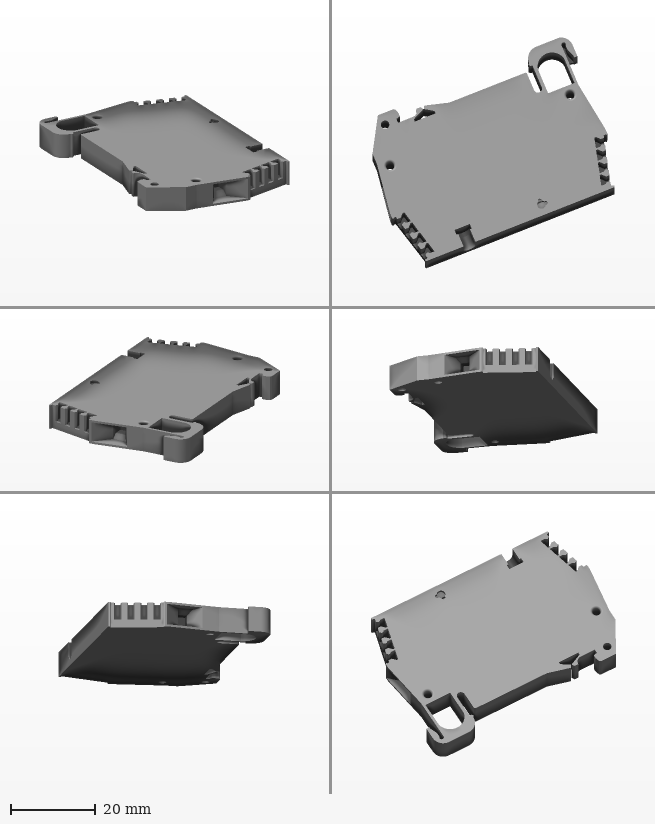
import cadquery as cq
import math

THICKNESS = 6.0

HEAD_TOP = 34.05
TOP_HALF_WIDTH = 24.05
FLANK_TOP = (23.45, 33.4)
FLANK_BOTTOM = (26.55, 21.25)
SHOULDER_HALF_WIDTH = 27.5
SHOULDER_BOTTOM = 20.05
WAIST_HALF_WIDTH = 25.7
WAIST_TOP = 7.55

LATCH_LEFT = -28.15
LATCH_TOP = 0.9
LATCH_BOTTOM = -4.95
LATCH_OUTER_RADIUS = 2.8
LATCH_INNER_RADIUS = 3.05
LATCH_RIGHT = -17.0
SPRING_SLOT_LEFT = -17.5
SPRING_SLOT_WIDTH = 1.95
SPRING_SLOT_TOP = 5.75
SPRING_SLOT_CORNER = 0.3
SLIT_BOTTOM = -3.5
WEB_THICKNESS = 1.1

WINDOW_LEFT = -25.05
WINDOW_RIGHT = -18.3
WINDOW_TOP = 6.75
WINDOW_SIDE_BOTTOM = 0.35
WINDOW_BOTTOM = -2.45

FOOT_BOTTOM = -3.5
FOOT_HOLE_CENTRE = (20.25, -0.7)
FOOT_HOLE_RADIUS = 1.0
SPRING_TIP = (10.4, -0.85)
JAW_GAP = 0.05
JAW_BOTTOM = -1.55
JAW_ROOT_X = 13.45
JAW_WINDOW_LEFT = 8.2
JAW_WINDOW_TOP = 1.2
JAW_WINDOW_CORNER = 0.6

RIVET_X = 23.0
RIVET_Y = 9.05
RIVET_RADIUS = 0.95
RIVET_SINK_RADIUS = 1.5

GROOVE_COUNT = 4
GROOVE_PITCH = 3.0
GROOVE_DEPTH = 4.1
FLANK_SLOPE = (FLANK_BOTTOM[0] - FLANK_TOP[0]) / (FLANK_TOP[1] - FLANK_BOTTOM[1])

CHANNEL_X = 12.95
CHANNEL_RADIUS = 1.5
CHANNEL_BOTTOM = 30.7
CHANNEL_SEAT_RADIUS = 1.95
CHANNEL_SEAT_BOTTOM = 29.5

ENTRY_TOP = 20.7
ENTRY_BOTTOM = 11.7
ENTRY_WALL = 0.53
ENTRY_INNER_TOP = 17.0
ENTRY_MOUTH_BOTTOM = 13.5
ENTRY_INNER_BOTTOM = 14.4
ENTRY_MOUTH_DEPTH = 3.9
ENTRY_SOCKET_DEPTH = 2.2
ENTRY_INNER_WALL = 1.6

LAMP_CENTRE = (-6.45, 31.5)
LAMP_RADIUS = 1.0
LAMP_HEIGHT = 1.65
LAMP_RECESS = 0.6
LAMP_FLAT_OFFSET = 0.6
LAMP_BEVEL_DROP = 0.65
NOTCH_RADIUS = 0.475
NOTCH_OFFSET = 1.05


def mirror_x(points):
    return [(-x, y) for x, y in points]


def prism(wire, bottom=0.0, top=THICKNESS):
    """Extrude a closed outline drawn in XY between two heights."""
    return wire.extrude(top - bottom).translate((0, 0, bottom))


def make_plate():
    """The full-thickness outline, clockwise from the top +X corner."""
    head_side = [
        (TOP_HALF_WIDTH, HEAD_TOP),
        (TOP_HALF_WIDTH + 0.15, HEAD_TOP - 0.4),
        FLANK_TOP,
        FLANK_BOTTOM,
        (27.05, 21.25),
        (27.25, 21.5),
        (SHOULDER_HALF_WIDTH, 21.15),
        (SHOULDER_HALF_WIDTH, SHOULDER_BOTTOM),
        (WAIST_HALF_WIDTH, WAIST_TOP),
    ]
    fixed_foot = [
        (WAIST_HALF_WIDTH, 4.75),
        (21.0, FOOT_BOTTOM),
        (17.05, FOOT_BOTTOM),
        (16.6, -3.2),
        (16.25, -2.15),
        (16.25, -1.3),
        (17.25, -1.0),
        (17.25, 0),
    ]
    tip_x, tip_y = SPRING_TIP
    right_jaw = [
        (10.9, JAW_BOTTOM),
        (tip_x + JAW_GAP, tip_y),
        (JAW_ROOT_X, JAW_WINDOW_CORNER),
        (JAW_ROOT_X, JAW_WINDOW_TOP),
    ]
    left_jaw = [
        (JAW_WINDOW_LEFT, JAW_WINDOW_TOP),
        (JAW_WINDOW_LEFT, JAW_WINDOW_CORNER),
        (tip_x - JAW_GAP, tip_y),
        (9.9, JAW_BOTTOM),
        (4.2, 0),
    ]
    slot_right = SPRING_SLOT_LEFT + SPRING_SLOT_WIDTH
    slot_radius = SPRING_SLOT_WIDTH / 2
    slot_round_y = SPRING_SLOT_TOP - slot_radius
    diagonal = math.sqrt(0.5)
    inner_x = LATCH_RIGHT - LATCH_INNER_RADIUS
    inner_y = LATCH_BOTTOM + LATCH_INNER_RADIUS
    outer_x = LATCH_LEFT + LATCH_OUTER_RADIUS
    outer_y = LATCH_BOTTOM + LATCH_OUTER_RADIUS
    outline = (
        cq.Workplane("XY")
        .polyline(head_side + fixed_foot)
        .lineTo(JAW_ROOT_X, 0)
        .threePointArc(
            (JAW_ROOT_X + JAW_BOTTOM * diagonal, JAW_BOTTOM * (1 - diagonal)),
            (JAW_ROOT_X + JAW_BOTTOM, JAW_BOTTOM),
        )
        .polyline(right_jaw + left_jaw, includeCurrent=True)
        .lineTo(slot_right + SPRING_SLOT_CORNER, 0)
        .lineTo(slot_right, SPRING_SLOT_CORNER)
        .lineTo(slot_right, slot_round_y)
        .threePointArc((slot_right - slot_radius, SPRING_SLOT_TOP), (SPRING_SLOT_LEFT, slot_round_y))
        .lineTo(SPRING_SLOT_LEFT, -1.0)
        .lineTo(-17.0, -1.05)
        .lineTo(-16.65, -1.45)
        .lineTo(LATCH_RIGHT, inner_y)
        .threePointArc(
            (inner_x + LATCH_INNER_RADIUS * diagonal, inner_y - LATCH_INNER_RADIUS * diagonal),
            (inner_x, LATCH_BOTTOM),
        )
        .lineTo(outer_x, LATCH_BOTTOM)
        .threePointArc(
            (outer_x - LATCH_OUTER_RADIUS * diagonal, outer_y - LATCH_OUTER_RADIUS * diagonal),
            (LATCH_LEFT, outer_y),
        )
        .lineTo(LATCH_LEFT, LATCH_TOP)
        .lineTo(-27.4, LATCH_TOP)
        .lineTo(-27.15, 0.65)
        .lineTo(-WAIST_HALF_WIDTH, 0.55)
        .lineTo(-WAIST_HALF_WIDTH, WAIST_TOP)
    )
    for point in mirror_x(reversed(head_side[:-1])):
        outline = outline.lineTo(*point)
    return prism(outline.close())


def make_latch_slit():
    """Slit behind the hook, with a bulb at its closed end."""
    outline = (
        cq.Workplane("XY")
        .moveTo(-WAIST_HALF_WIDTH, LATCH_TOP)
        .lineTo(-27.3, LATCH_TOP)
        .lineTo(-27.3, 0.5)
        .lineTo(-26.6, -1.4)
        .lineTo(-26.6, -2.6)
        .lineTo(-26.75, -2.9)
        .threePointArc((-26.25, SLIT_BOTTOM), (-WAIST_HALF_WIDTH, -3.0))
        .close()
    )
    return prism(outline, bottom=WEB_THICKNESS)


def make_latch_window():
    middle = (WINDOW_LEFT + WINDOW_RIGHT) / 2
    outline = (
        cq.Workplane("XY")
        .moveTo(WINDOW_LEFT, WINDOW_SIDE_BOTTOM)
        .lineTo(WINDOW_LEFT, WINDOW_TOP)
        .lineTo(WINDOW_RIGHT, WINDOW_TOP)
        .lineTo(WINDOW_RIGHT, WINDOW_SIDE_BOTTOM)
        .threePointArc((middle, WINDOW_BOTTOM), (WINDOW_LEFT, WINDOW_SIDE_BOTTOM))
        .close()
    )
    return prism(outline)


def make_rivet_hole(x):
    """Through hole whose mouth in the top face flares out in a quarter round."""
    flare = RIVET_SINK_RADIUS - RIVET_RADIUS
    profile = (
        cq.Workplane("XZ", origin=(x, RIVET_Y, 0))
        .lineTo(RIVET_RADIUS, 0)
        .lineTo(RIVET_RADIUS, THICKNESS - flare)
        .radiusArc((RIVET_SINK_RADIUS, THICKNESS), flare)
        .lineTo(0, THICKNESS)
        .close()
    )
    return profile.revolve(360, (0, 0, 0), (0, 1, 0))


def make_marker_groove(index):
    """One snap-in groove of the -X flank, counted from the top."""
    outline = (
        cq.Workplane("XY")
        .moveTo(-24.2, 32.55)
        .lineTo(-23.55, 32.55)
        .lineTo(-23.15, 32.2)
        .lineTo(-22.8, 32.2)
        .lineTo(-22.4, 32.55)
        .lineTo(-21.3, 32.55)
        .lineTo(-21.9, 30.0)
        .lineTo(-22.35, 30.0)
        .lineTo(-23.2, 30.9)
        .lineTo(-24.2, 30.9)
        .close()
    )
    drop = index * GROOVE_PITCH
    groove = prism(outline, bottom=THICKNESS - GROOVE_DEPTH)
    return groove.translate((-drop * FLANK_SLOPE, -drop, 0))


def make_plug_channel():
    """Round-bottomed channel open to the top face, with a wider seat at its inner end."""

    def channel(radius, bottom, top):
        mid = THICKNESS / 2
        bore = cq.Workplane("XZ", origin=(CHANNEL_X, top, mid)).circle(radius).extrude(top - bottom)
        opening = (
            cq.Workplane("XY", origin=(CHANNEL_X, (top + bottom) / 2, mid))
            .rect(2 * radius, top - bottom)
            .extrude(THICKNESS - mid)
        )
        return bore.union(opening)

    seat = channel(CHANNEL_SEAT_RADIUS, CHANNEL_SEAT_BOTTOM, CHANNEL_BOTTOM)
    return channel(CHANNEL_RADIUS, CHANNEL_BOTTOM, HEAD_TOP).union(seat)


def make_wire_entry():
    """Funnel of the -X side: a slanted mouth, a taper that goes on along its -Y wall, and a socket."""
    outside_x = -SHOULDER_HALF_WIDTH
    mouth_x = outside_x + ENTRY_MOUTH_DEPTH
    waist_slope = (SHOULDER_HALF_WIDTH - WAIST_HALF_WIDTH) / (SHOULDER_BOTTOM - WAIST_TOP)
    surface_x = outside_x + (SHOULDER_BOTTOM - ENTRY_BOTTOM) * waist_slope
    wall_run = (mouth_x - surface_x) / (ENTRY_MOUTH_BOTTOM - ENTRY_BOTTOM)
    taper_depth = (ENTRY_INNER_BOTTOM - ENTRY_MOUTH_BOTTOM) * wall_run
    mouth = prism(
        cq.Workplane("XY")
        .polyline([
            (outside_x, ENTRY_TOP),
            (mouth_x, ENTRY_INNER_TOP),
            (mouth_x, ENTRY_MOUTH_BOTTOM),
            (surface_x, ENTRY_BOTTOM),
            (outside_x, ENTRY_BOTTOM),
        ])
        .close(),
        bottom=ENTRY_WALL,
        top=THICKNESS - ENTRY_WALL,
    )

    def section(y_bottom, wall):
        return [
            (y_bottom, wall),
            (ENTRY_INNER_TOP, wall),
            (ENTRY_INNER_TOP, THICKNESS - wall),
            (y_bottom, THICKNESS - wall),
        ]

    inner_section = section(ENTRY_INNER_BOTTOM, ENTRY_INNER_WALL)
    taper = (
        cq.Workplane("YZ", origin=(mouth_x, 0, 0))
        .polyline(section(ENTRY_MOUTH_BOTTOM, ENTRY_WALL))
        .close()
        .workplane(offset=taper_depth)
        .polyline(inner_section)
        .close()
        .loft(ruled=True)
    )
    socket = (
        cq.Workplane("YZ", origin=(mouth_x + taper_depth, 0, 0))
        .polyline(inner_section)
        .close()
        .extrude(ENTRY_SOCKET_DEPTH)
    )
    return mouth.union(taper).union(socket)


def make_lamp_seat():
    """Round pocket for the lamp with two shallow notches at its rim."""
    x, y = LAMP_CENTRE
    recess_floor = THICKNESS - LAMP_RECESS
    seat = prism(
        cq.Workplane("XY").center(x, y).circle(LAMP_RADIUS),
        bottom=recess_floor - LAMP_HEIGHT,
    )
    for centre in [(x - NOTCH_OFFSET, y), (x, y - NOTCH_OFFSET)]:
        seat = seat.union(prism(cq.Workplane("XY").center(*centre).circle(NOTCH_RADIUS), bottom=recess_floor))
    return seat


def make_lamp():
    """Cylindrical lamp whose top is bevelled towards -Y."""
    x, y = LAMP_CENTRE
    top = THICKNESS - LAMP_RECESS
    bevel_start = y - LAMP_FLAT_OFFSET
    bevel_end = y - LAMP_RADIUS
    body = prism(cq.Workplane("XY").center(x, y).circle(LAMP_RADIUS), bottom=top - LAMP_HEIGHT, top=top)
    bevel = (
        cq.Workplane("YZ", origin=(x, 0, 0))
        .polyline([(bevel_start, top), (bevel_end, top), (bevel_end, top - LAMP_BEVEL_DROP)])
        .close()
        .extrude(LAMP_RADIUS, both=True)
    )
    return body.cut(bevel)


def make_housing():
    housing = make_plate().cut(make_latch_slit()).cut(make_latch_window())
    housing = housing.cut(prism(cq.Workplane("XY").center(*FOOT_HOLE_CENTRE).circle(FOOT_HOLE_RADIUS)))
    for x in (-RIVET_X, RIVET_X):
        housing = housing.cut(make_rivet_hole(x))
    side_cuts = [make_marker_groove(index) for index in range(GROOVE_COUNT)]
    side_cuts.append(make_wire_entry())
    for side_cut in side_cuts:
        housing = housing.cut(side_cut).cut(side_cut.mirror("YZ"))
    return housing.cut(make_plug_channel()).cut(make_lamp_seat())


housing = make_housing()
lamp = make_lamp()
result = cq.Compound.makeCompound([housing.val(), lamp.val()])